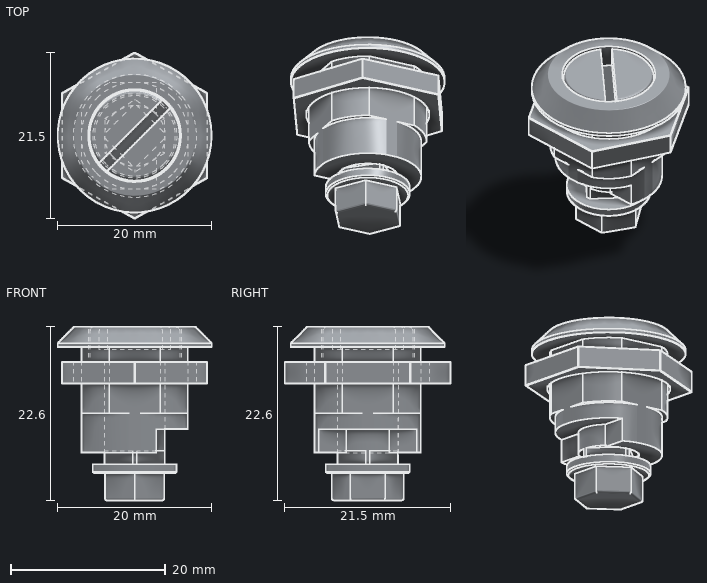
import cadquery as cq

TOP_Z = 22.55
RIM_TOP_Z = 20.42
HEAD_BOTTOM_Z = 19.9
CORE_HEAD_BOTTOM_Z = 18.05
NUT_TOP_Z = 17.98
NUT_BOTTOM_Z = 15.15
THREAD_END_Z = 11.33
NOTCH_TOP_Z = 9.25
SHAFT_ROUND_END_Z = 6.43
HOUSING_BOTTOM_Z = 6.2
FLANGE_TOP_Z = 4.74
FLANGE_BOTTOM_Z = 3.52

HEAD_DIA = 20.0
HEAD_SLOPE = TOP_Z - RIM_TOP_Z
HEAD_TOP_FILLET = 0.2
HEAD_BOTTOM_CHAMFER = 0.05
HEAD_BORE_DIA = 12.07
BODY_ACROSS_FLATS = 13.8
THREAD_DIA = 15.3
TAIL_DIA = 13.9
NOTCH_X = 2.77

CORE_HEAD_DIA = 11.69
CORE_FILLET = 0.55
SLOT_WIDTH = 1.5
SLOT_DEPTH = 2.93
SLOT_ANGLE = 45
SHAFT_DIA = 7.87
SHAFT_SQUARE = 5.93
SQUARE_ANGLE = 45

NUT_WIDTH = 18.85
NUT_CORNER_SPAN = 21.6
NUT_SIDE = 11.05
NUT_EDGE_CHAMFER = 0.07
NUT_BORE_DIA = 16.0

FLANGE_DIA = 10.92
FLANGE_CHAMFER = 0.23
DRIVE_WIDTH = 7.72
DRIVE_CORNER_SPAN = 9.38
DRIVE_SIDE = 4.5
DRIVE_END_FILLET = 0.3


def cylinder(dia, bottom, top):
    return cq.Workplane("XY").workplane(offset=bottom).circle(dia / 2).extrude(top - bottom)


def rectangular_bar(x_size, y_size, bottom, top, angle=0):
    """Bar centred on the Z axis and turned about it by an angle in degrees."""
    bar = cq.Workplane("XY").workplane(offset=bottom).rect(x_size, y_size).extrude(top - bottom)
    return bar.rotate((0, 0, 0), (0, 0, 1), angle)


def hex_bar(width, corner_span, side, bottom, top):
    """Six-sided bar with two sides parallel to Y and two corners on the Y axis."""
    corners = [
        (width / 2, -side / 2),
        (width / 2, side / 2),
        (0, corner_span / 2),
        (-width / 2, side / 2),
        (-width / 2, -side / 2),
        (0, -corner_span / 2),
    ]
    return cq.Workplane("XY").workplane(offset=bottom).polyline(corners).close().extrude(top - bottom)


def make_housing():
    head = cylinder(HEAD_DIA, HEAD_BOTTOM_Z, TOP_Z).faces(">Z").chamfer(HEAD_SLOPE)
    head = head.faces(">Z").edges().fillet(HEAD_TOP_FILLET)
    head = head.faces("<Z").chamfer(HEAD_BOTTOM_CHAMFER)

    thread = cylinder(THREAD_DIA, THREAD_END_Z, HEAD_BOTTOM_Z)
    tail = cylinder(TAIL_DIA, HOUSING_BOTTOM_Z, THREAD_END_Z)
    flats = rectangular_bar(BODY_ACROSS_FLATS, BODY_ACROSS_FLATS, HOUSING_BOTTOM_Z, HEAD_BOTTOM_Z)
    housing = head.union(thread.union(tail).intersect(flats))

    notch = rectangular_bar(TAIL_DIA, TAIL_DIA, HOUSING_BOTTOM_Z, NOTCH_TOP_Z)
    notch = notch.translate((NOTCH_X + TAIL_DIA / 2, 0, 0))
    housing = housing.cut(notch)

    housing = housing.cut(cylinder(HEAD_BORE_DIA, CORE_HEAD_BOTTOM_Z, TOP_Z))
    return housing.cut(cylinder(SHAFT_DIA, HOUSING_BOTTOM_Z, CORE_HEAD_BOTTOM_Z))


def make_core():
    head = cylinder(CORE_HEAD_DIA, CORE_HEAD_BOTTOM_Z, TOP_Z).faces(">Z").edges().fillet(CORE_FILLET)
    head = head.cut(rectangular_bar(HEAD_BORE_DIA, SLOT_WIDTH, TOP_Z - SLOT_DEPTH, TOP_Z, SLOT_ANGLE))

    shaft = cylinder(SHAFT_DIA, FLANGE_TOP_Z, CORE_HEAD_BOTTOM_Z)
    square = rectangular_bar(SHAFT_SQUARE, SHAFT_SQUARE, FLANGE_TOP_Z, SHAFT_ROUND_END_Z, SQUARE_ANGLE)
    trimming = cylinder(HEAD_BORE_DIA, FLANGE_TOP_Z, SHAFT_ROUND_END_Z).cut(square)
    return head.union(shaft.cut(trimming))


def make_nut():
    nut = hex_bar(NUT_WIDTH, NUT_CORNER_SPAN, NUT_SIDE, NUT_BOTTOM_Z, NUT_TOP_Z)
    nut = nut.edges().chamfer(NUT_EDGE_CHAMFER)
    return nut.cut(cylinder(NUT_BORE_DIA, NUT_BOTTOM_Z, NUT_TOP_Z))


def make_screw():
    flange = cylinder(FLANGE_DIA, FLANGE_BOTTOM_Z, FLANGE_TOP_Z).faces("<Z").chamfer(FLANGE_CHAMFER)
    drive = hex_bar(DRIVE_WIDTH, DRIVE_CORNER_SPAN, DRIVE_SIDE, 0, FLANGE_BOTTOM_Z)
    drive = drive.faces("<Z").edges().fillet(DRIVE_END_FILLET)
    return flange.union(drive)


housing = make_housing()
core = make_core()
nut = make_nut()
screw = make_screw()

result = cq.Compound.makeCompound([housing.val(), core.val(), nut.val(), screw.val()])